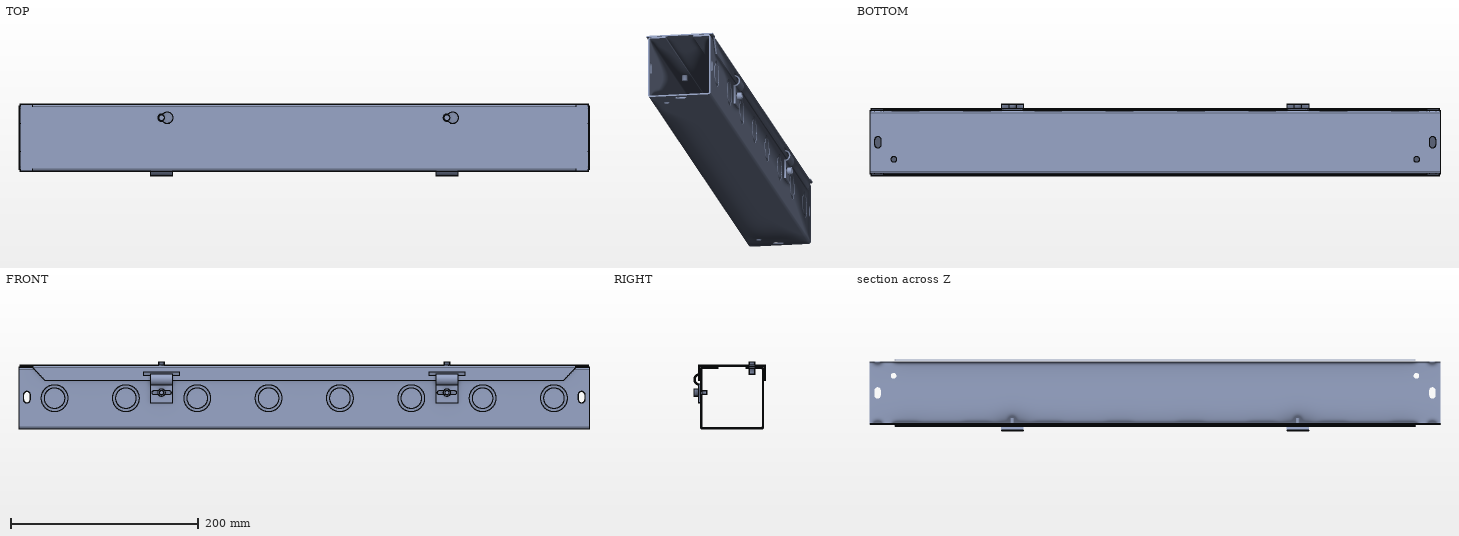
import cadquery as cq


length = 609.5
trough_width = 67.5
lid_top = 68.0
sheet = 1.5
lid_clearance = 0.5
inner_bend = 0.9
outer_bend = inner_bend + sheet
lip_width = 19.0

trough_height = lid_top - sheet - lid_clearance
wall_outer = trough_width / 2
wall_inner = wall_outer - sheet
knockout_count = 8
knockout_pitch = length / knockout_count
knockout_outer_diameter = 28.5
knockout_inner_diameter = 22.0
knockout_depth = 0.5
knockout_z = trough_height / 2
end_slot_x = 296.0
end_slot_z = 34.0
end_slot_length = 12.0
end_slot_width = 7.0
floor_hole_x = 279.0
floor_hole_y = 18.0
floor_hole_diameter = 6.0

lid_length = 607.0
lid_width = trough_width + 2 * (sheet + lid_clearance)
lid_face = lid_width / 2
flange_bottom = 52.0
flange_top_length = 580.5
flange_bottom_length = 553.5
keyhole_diameter = 12.0
keyhole_offset = 6.0
keyhole_slot_width = 8.0
flange_slot_length = 38.5
flange_slot_height = 3.5
flange_slot_z = 59.0

stations = [-length / 4, length / 4]

lid_screw_y = 21.5
lid_screw_diameter = 6.0
lid_screw_top = 72.0
lid_screw_length = 13.5

clip_width = 24.0
clip_bottom = 28.0
clip_sheet = 1.5
clip_bulge_depth = 5.0
clip_bulge_height = 12.0
clip_bulge_z = 53.0
clip_slot_length = 21.0

clip_screw_z = 39.0
clip_screw_head_diameter = 8.0
clip_screw_head_height = 5.0
clip_screw_shank_diameter = 4.1
clip_screw_shank_length = 9.0
clip_screw_socket_diameter = 4.6
clip_screw_socket_depth = 2.0


def extruded_along_x(profile, size):
    """Extrude a closed YZ sketch by the given size, centred on X = 0."""
    return profile.extrude(size / 2, both=True)


def box_between(size_x, y_range, z_range):
    """Box centred on X = 0 between the given Y and Z limits."""
    profile = cq.Workplane("YZ").moveTo(y_range[0], z_range[0]).lineTo(y_range[1], z_range[0])
    profile = profile.lineTo(y_range[1], z_range[1]).lineTo(y_range[0], z_range[1]).close()
    return extruded_along_x(profile, size_x)


def rounded_tube(half_width, bottom, top, radius):
    """Full-length bar with a rounded rectangular section."""
    bar = box_between(length, (-half_width, half_width), (bottom, top))
    return bar.edges("|X").fillet(radius)


def cylinder_down(x, y, top, diameter, depth):
    return cq.Workplane("XY", origin=(x, y, top)).circle(diameter / 2).extrude(-depth)


def cylinder_inward(x, y, z, diameter, depth):
    """Cylinder that starts at the given point and runs in the +Y direction."""
    return cq.Workplane("XZ", origin=(x, y, z)).circle(diameter / 2).extrude(-depth)


def knockout_grooves():
    """Row of ring grooves that outline the knockouts in the front wall."""
    first_x = -(knockout_count - 1) * knockout_pitch / 2
    centres = [(first_x + i * knockout_pitch, knockout_z) for i in range(knockout_count)]
    face = cq.Workplane("XZ", origin=(0, -wall_outer, 0)).pushPoints(centres)
    rings = face.circle(knockout_outer_diameter / 2).circle(knockout_inner_diameter / 2)
    return rings.extrude(-knockout_depth)


def end_slots():
    """Upright slots through both walls and cross slots through the floor, near each end."""
    ends = [-end_slot_x, end_slot_x]
    wall_slots = (
        cq.Workplane("XZ")
        .pushPoints([(x, end_slot_z) for x in ends])
        .slot2D(end_slot_length, end_slot_width, 90)
        .extrude(trough_width, both=True)
    )
    floor_slots = (
        cq.Workplane("XY")
        .pushPoints([(x, 0) for x in ends])
        .slot2D(end_slot_length, end_slot_width, 90)
        .extrude(sheet)
    )
    return wall_slots.union(floor_slots)


def make_trough():
    """Square channel whose top edges turn inward as lips."""
    trough = rounded_tube(wall_outer, 0, trough_height, outer_bend)
    trough = trough.cut(rounded_tube(wall_inner, sheet, trough_height - sheet, inner_bend))
    opening = wall_outer - lip_width
    trough = trough.cut(box_between(length, (-opening, opening), (trough_height / 2, lid_top)))
    trough = trough.cut(knockout_grooves()).cut(end_slots())
    for x in (-floor_hole_x, floor_hole_x):
        trough = trough.cut(cylinder_down(x, floor_hole_y, sheet, floor_hole_diameter, sheet))
    for x in stations:
        trough = trough.cut(make_lid_screw(x)).cut(make_clip_screw(x))
    return trough


def lid_keyhole(x):
    """Keyhole: a slot around the screw that opens into a larger hole on its +X side."""
    top_plane = cq.Workplane("XY", origin=(x, lid_screw_y, lid_top))
    slot = top_plane.circle(keyhole_slot_width / 2).extrude(-sheet)
    neck = top_plane.center(keyhole_offset / 2, 0).rect(keyhole_offset, keyhole_slot_width).extrude(-sheet)
    hole = cylinder_down(x + keyhole_offset, lid_screw_y, lid_top, keyhole_diameter, sheet)
    return slot.union(neck).union(hole)


def flange_slot(x):
    """Rectangular slot through the front flange for the tongue of a clip."""
    face = cq.Workplane("XZ", origin=(x, -lid_face, flange_slot_z))
    return face.rect(flange_slot_length, flange_slot_height).extrude(-sheet)


def make_lid():
    """Flat plate with a bent-down flange on each long side; the flange ends are bevelled."""
    plate_bottom = lid_top - sheet
    bend_start = lid_top - outer_bend
    bent = box_between(flange_top_length, (-lid_face, lid_face), (flange_bottom, lid_top))
    bent = bent.edges("|X and >Z").fillet(outer_bend)
    flange_inner = lid_face - sheet
    hollow = box_between(length, (-flange_inner, flange_inner), (0, plate_bottom))
    hollow = hollow.edges("|X and >Z").fillet(inner_bend)
    flange_outline = (
        cq.Workplane("XZ")
        .moveTo(-flange_bottom_length / 2, flange_bottom)
        .lineTo(flange_bottom_length / 2, flange_bottom)
        .lineTo(flange_top_length / 2, bend_start)
        .lineTo(flange_top_length / 2, lid_top)
        .lineTo(-flange_top_length / 2, lid_top)
        .lineTo(-flange_top_length / 2, bend_start)
        .close()
        .extrude(lid_width, both=True)
    )
    lid = bent.cut(hollow).intersect(flange_outline)
    end_length = (lid_length - flange_top_length) / 2
    for side in (-1, 1):
        end_plate = box_between(end_length, (-lid_face, lid_face), (plate_bottom, lid_top))
        lid = lid.union(end_plate.translate((side * (lid_length - end_length) / 2, 0, 0)))
    for x in stations:
        lid = lid.cut(lid_keyhole(x)).cut(flange_slot(x))
    return lid


def make_lid_screw(x):
    return cylinder_down(x, lid_screw_y, lid_screw_top, lid_screw_diameter, lid_screw_length)


def make_clip_screw(x):
    """Screw with a round head on the clip and a shank through the clip and the wall."""
    head_back = -lid_face
    head = cylinder_inward(x, head_back - clip_screw_head_height, clip_screw_z,
                           clip_screw_head_diameter, clip_screw_head_height)
    shank = cylinder_inward(x, head_back, clip_screw_z,
                            clip_screw_shank_diameter, clip_screw_shank_length)
    socket = cylinder_inward(x, head_back - clip_screw_head_height, clip_screw_z,
                             clip_screw_socket_diameter, clip_screw_socket_depth)
    return head.cut(socket).union(shank)


def make_clip(x):
    """Plate on the wall, arched over the flange edge, with a tongue that enters the flange slot."""
    outer_rise = clip_bulge_height / 2
    inner_rise = outer_rise - clip_sheet
    crest = -lid_face - clip_bulge_depth
    plate_thickness = lid_face - wall_outer
    strap_profile = (
        cq.Workplane("YZ")
        .moveTo(-wall_outer, clip_bottom)
        .lineTo(-lid_face, clip_bottom)
        .lineTo(-lid_face, clip_bulge_z - outer_rise)
        .threePointArc((crest, clip_bulge_z), (-lid_face, clip_bulge_z + outer_rise))
        .lineTo(-wall_outer, clip_bulge_z + outer_rise)
        .lineTo(-wall_outer, clip_bulge_z + inner_rise)
        .lineTo(-lid_face, clip_bulge_z + inner_rise)
        .threePointArc((crest + clip_sheet, clip_bulge_z), (-lid_face, clip_bulge_z - inner_rise))
        .lineTo(-wall_outer, clip_bulge_z - inner_rise)
        .close()
    )
    strap = extruded_along_x(strap_profile, clip_width)
    slot = (
        cq.Workplane("XZ", origin=(0, -lid_face, clip_screw_z))
        .slot2D(clip_slot_length, clip_screw_shank_diameter)
        .extrude(-plate_thickness)
    )
    return strap.cut(slot).translate((x, 0, 0))


trough = make_trough()
lid = make_lid()
lid_screws = [make_lid_screw(x) for x in stations]
clips = [make_clip(x) for x in stations]
clip_screws = [make_clip_screw(x) for x in stations]

bodies = [trough, lid, *lid_screws, *clips, *clip_screws]
result = cq.Compound.makeCompound([body.val() for body in bodies])